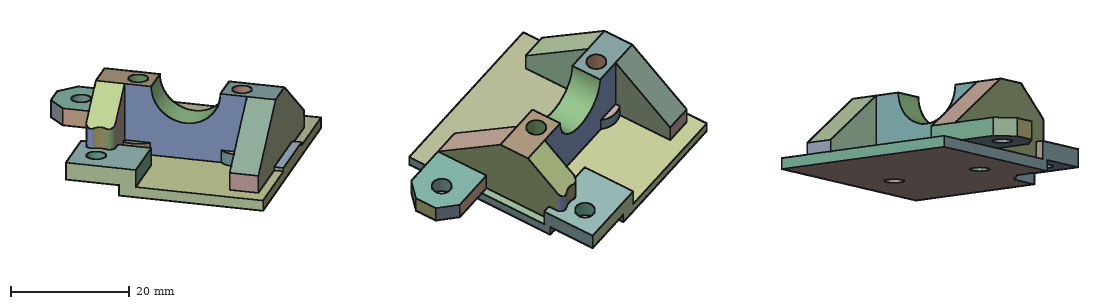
import cadquery as cq
import math

plate_width = 34.62
plate_depth = 37.5
plate_thickness = 1.9
total_height = 14.5

tab_width = 9.9
tab_thickness = 3.15
tab_top = plate_thickness + tab_thickness
tab_reach = 9.6
tab_chamfer = 2.9
screw_diameter = 3.35

cheek_thickness = 5.05
cheek_left = 1.4
cheek_right = 33.0
cheek_front = 3.0
cheek_back = 32.55
wall_front = 14.15
wall_back = 19.8
wall_middle = (wall_front + wall_back) / 2
saddle_x = (cheek_left + cheek_right) / 2
saddle_radius = 6.05
clamp_screw_offset = 9.1
boss_radius = 4.02
boss_height = 2.25

side_screw = (-4.8, cheek_back - tab_width / 2)

pad_length = 12.3
recess_length = 9.35
recess_depth = 8.65
pad_screw = (4.15, 4.38)
clearance_radius = 3.2
nose_radius = 1.0

step_front = 13.18
step_back = 24.85
step_height = 0.6


def block(x0, x1, y0, y1, z0, z1):
    """Box between opposite corners."""
    return cq.Workplane("XY").box(x1 - x0, y1 - y0, z1 - z0, centered=False).translate((x0, y0, z0))


def cylinder(center, radius, z0, z1):
    """Upright cylinder between two heights."""
    return cq.Workplane("XY", origin=(0, 0, z0)).center(*center).circle(radius).extrude(z1 - z0)


def make_cheek(left):
    """Side wall that slopes down from the cross wall to the front and back."""
    outline = [
        (cheek_front, 0),
        (cheek_back, 0),
        (cheek_back, tab_top),
        (wall_back, total_height),
        (wall_front, total_height),
        (cheek_front, tab_top),
    ]
    return cq.Workplane("YZ", origin=(left, 0, 0)).polyline(outline).close().extrude(cheek_thickness)


def make_nose_cutter():
    """Space in front of the left cheek: a round hollow beside two rounded corners."""
    screw_x, screw_y = pad_screw
    cheek_inside = cheek_left + cheek_thickness

    def rounding(side, face_x):
        """Start, middle and end of an arc tangent to the hollow and to a cheek face."""
        center_x = face_x - side * nose_radius
        across = center_x - screw_x
        center_distance = clearance_radius + nose_radius
        along = math.sqrt(center_distance**2 - across**2)
        center_y = screw_y + along
        hollow_share = clearance_radius / center_distance
        start = (screw_x + across * hollow_share, screw_y + along * hollow_share)
        start_angle = math.pi / 2 + math.atan2(side * across, along)
        middle_angle = start_angle / 2
        middle = (
            center_x + side * nose_radius * math.cos(middle_angle),
            center_y - nose_radius * math.sin(middle_angle),
        )
        return start, middle, (face_x, center_y)

    left_start, left_middle, left_end = rounding(-1, cheek_left)
    right_start, right_middle, right_end = rounding(1, cheek_inside)
    return (
        cq.Workplane("XY", origin=(0, 0, tab_top))
        .moveTo(cheek_left, 0)
        .lineTo(*left_end)
        .threePointArc(left_middle, left_start)
        .threePointArc((screw_x, screw_y + clearance_radius), right_start)
        .threePointArc(right_middle, right_end)
        .lineTo(cheek_inside, 0)
        .close()
        .extrude(total_height - tab_top)
    )


def make_side_tab():
    """Tab with two chamfered outer corners."""
    tab = block(-tab_reach, cheek_left, cheek_back - tab_width, cheek_back, plate_thickness, tab_top)
    return tab.edges("|Z and <X").chamfer(tab_chamfer)


def make_pad_recess():
    """Corner recess through the plate, with its inner corner cut diagonally."""
    recess = block(0, recess_length, 0, recess_depth, 0, plate_thickness)
    return recess.edges("|Z and >X and >Y").chamfer(tab_chamfer)


body = block(0, plate_width, 0, plate_depth, 0, plate_thickness)
left_cheek = make_cheek(cheek_left).cut(make_nose_cutter())
body = body.union(left_cheek).union(make_cheek(cheek_right - cheek_thickness))

body = body.union(block(cheek_left, cheek_right, wall_front, wall_back, 0, total_height))
clamp_screws = [(saddle_x + side * clamp_screw_offset, wall_middle) for side in (-1, 1)]
for center in clamp_screws:
    body = body.union(cylinder(center, boss_radius, 0, plate_thickness + boss_height))

body = body.union(make_side_tab())
body = body.cut(make_pad_recess())
body = body.union(block(0, pad_length, 0, tab_width, plate_thickness, tab_top))
body = body.union(
    block(cheek_right, plate_width, step_front, step_back, plate_thickness, plate_thickness + step_height)
)

saddle = (
    cq.Workplane("XZ", origin=(0, wall_back, 0))
    .center(saddle_x, total_height)
    .circle(saddle_radius)
    .extrude(wall_back - wall_front)
)
body = body.cut(saddle)

for center in [side_screw, pad_screw, *clamp_screws]:
    body = body.cut(cylinder(center, screw_diameter / 2, 0, total_height))

result = body